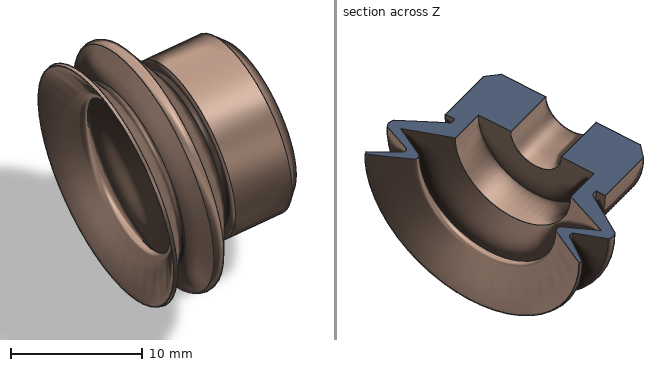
import cadquery as cq


fold_radius = 10.5
length = 13.0

collar_radius = 7.5
collar_length = 6.0
collar_chamfer = 0.99
collar_y = length - collar_length

lip_radius = 10.12
lip_face_radius = 10.04
lip_edge_y = 0.27

groove_radius = 7.73
groove_y = 2.1
groove_half_width = 0.2
groove_rise = 0.08

crest_y = 3.8
crest_half_width = 0.45
crest_rise = 0.15

neck_radius = 6.62
neck_half_width = 0.23
neck_rise = 0.05
neck_y = collar_y - neck_half_width

lip_opening_radius = 10.0
throat_radius = 6.49
throat_y = 2.04
throat_half_width = 0.38
throat_rise = 0.25
cavity_radius = 9.35
cavity_y = 3.8
bore_radius = 5.4
bore_y = 5.38
floor_y = 8.4
hole_radius = 2.35


def build_body():
    """Revolve the wall section, drawn as (radius, axial distance)."""
    groove_side = groove_radius + groove_rise
    crest_side = fold_radius - crest_rise
    neck_side = neck_radius + neck_rise
    throat_side = throat_radius + throat_rise
    section = (
        cq.Workplane("XY")
        .moveTo(lip_opening_radius, 0)
        .lineTo(lip_face_radius, 0)
        .lineTo(lip_radius, lip_edge_y)
        .lineTo(groove_side, groove_y - groove_half_width)
        .threePointArc((groove_radius, groove_y), (groove_side, groove_y + groove_half_width))
        .lineTo(crest_side, crest_y - crest_half_width)
        .threePointArc((fold_radius, crest_y), (crest_side, crest_y + crest_half_width))
        .lineTo(neck_side, neck_y - neck_half_width)
        .threePointArc((neck_radius, neck_y), (neck_side, collar_y))
        .lineTo(collar_radius, collar_y)
        .lineTo(collar_radius, length - collar_chamfer)
        .lineTo(collar_radius - collar_chamfer, length)
        .lineTo(hole_radius, length)
        .lineTo(hole_radius, floor_y)
        .lineTo(bore_radius, floor_y)
        .lineTo(bore_radius, bore_y)
        .lineTo(cavity_radius, cavity_y)
        .lineTo(throat_side, throat_y + throat_half_width)
        .threePointArc((throat_radius, throat_y), (throat_side, throat_y - throat_half_width))
        .close()
    )
    return section.revolve(360, (0, 0, 0), (0, 1, 0))


result = build_body()